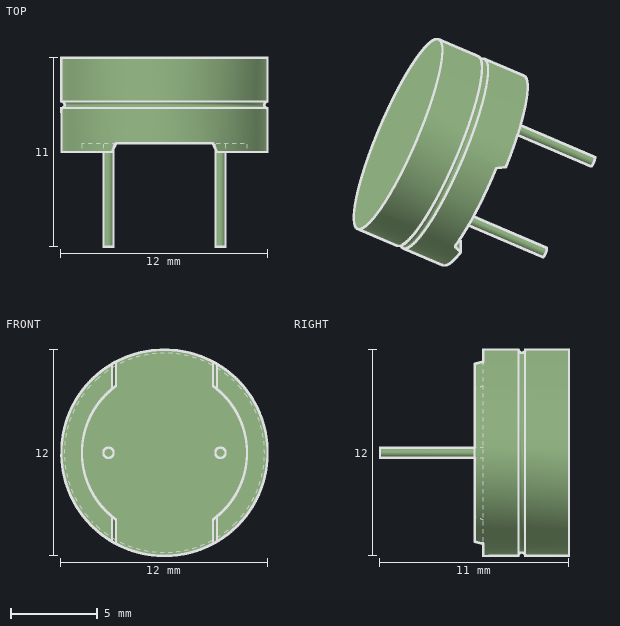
import cadquery as cq

body_diameter = 12.0
body_length = 5.5
pin_length = 5.51
pin_diameter = 0.6
pin_spacing = 6.5

recess_depth = 0.5
pocket_diameter = 9.6
channel_floor_width = 5.62
channel_mouth_width = 6.1

groove_radius = 0.19

body_radius = body_diameter / 2
back_y = (body_length + pin_length) / 2
face_y = back_y - body_length
floor_y = face_y + recess_depth
groove_y = face_y + body_length / 2


def cylinder(diameter, start_y, end_y, center_x=0):
    """Cylinder along Y between two Y positions."""
    return cq.Workplane(
        cq.Solid.makeCylinder(
            diameter / 2,
            end_y - start_y,
            cq.Vector(center_x, start_y, 0),
            cq.Vector(0, 1, 0),
        )
    )


def make_groove():
    """Ring of circular section, centred on the body's outer surface."""
    return cq.Workplane(
        cq.Solid.makeTorus(
            body_radius,
            groove_radius,
            cq.Vector(0, groove_y, 0),
            cq.Vector(0, 1, 0),
        )
    )


def make_channel():
    """Channel along Z, widening from the recess floor to the pin face."""
    return (
        cq.Workplane("XY")
        .polyline([
            (-channel_mouth_width / 2, face_y),
            (channel_mouth_width / 2, face_y),
            (channel_floor_width / 2, floor_y),
            (-channel_floor_width / 2, floor_y),
        ])
        .close()
        .extrude(body_radius, both=True)
    )


result = (
    cylinder(body_diameter, face_y, back_y)
    .cut(make_groove())
    .cut(cylinder(pocket_diameter, face_y, floor_y))
    .cut(make_channel())
)

for side in (-1, 1):
    result = result.union(cylinder(pin_diameter, -back_y, floor_y, side * pin_spacing / 2))